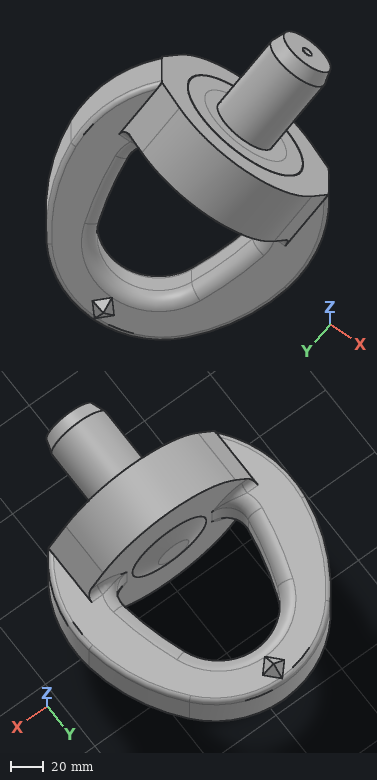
import cadquery as cq
import math

position_tolerance = 0.2

eye_thickness = 36.0
eye_width = 166.9
eye_top = 154.7
eye_crown_radius = 70.6
eye_flank_radius = 126.0
eye_foot_radius = 83.7
eye_widest_y = 54.3
rim_fillet = 3.3

opening_top = 125.4
opening_width = 94.3
opening_crown_radius = 37.4
opening_flank_radius = 228.2
opening_corner_radius = 14.8
opening_fillet = 9.5

marker_center_y = 143.9
marker_half_length = 9.0
marker_half_width = 8.3
marker_height = 6.7

base_height = 38.2
base_diameter = 123.6
base_half_width = 63.2
base_tangent_x = 50.2
base_fillet = 5.5

shank_diameter = 42.0
shank_length = 62.5
tip_diameter = 35.9
tip_length = 9.3
head_diameter = 56.0
dome_flat_diameter = 23.0
dome_height = 4.1
center_hole_diameter = 3.0
center_hole_depth = 6.5
countersink_diameter = 7.0

recess_diameter = 88.0
bush_diameter = 87.1
bush_bore_diameter = 42.2
bush_height = 19.1
dish_diameter = 62.1
dish_depth = 0.33


def mirrored(point):
    return (-point[0], point[1])


def point_on_circle(center, radius, toward):
    """Point at the given radius from center, in the direction of the vector toward."""
    scale = radius / math.hypot(*toward)
    return (center[0] + scale * toward[0], center[1] + scale * toward[1])


def flank_arc(crown_center, crown_radius, lower_center, lower_radius, flank_radius):
    """Start, middle and end of the arc that runs tangentially from the lower circle to the crown circle."""
    to_crown = flank_radius - crown_radius
    to_lower = flank_radius - lower_radius
    offset_x = crown_center[0] - lower_center[0]
    offset_y = crown_center[1] - lower_center[1]
    distance = math.hypot(offset_x, offset_y)
    along = (to_lower**2 - to_crown**2 + distance**2) / (2 * distance)
    across = math.sqrt(to_lower**2 - along**2)
    center = (
        lower_center[0] + (along * offset_x - across * offset_y) / distance,
        lower_center[1] + (along * offset_y + across * offset_x) / distance,
    )
    toward_lower = (lower_center[0] - center[0], lower_center[1] - center[1])
    toward_crown = (crown_center[0] - center[0], crown_center[1] - center[1])
    start = point_on_circle(center, flank_radius, toward_lower)
    end = point_on_circle(center, flank_radius, toward_crown)
    toward_middle = (start[0] + end[0] - 2 * center[0], start[1] + end[1] - 2 * center[1])
    return start, point_on_circle(center, flank_radius, toward_middle), end


def make_eye_blank():
    crown_center = (0, eye_top - eye_crown_radius)
    foot_center = (eye_width / 2 - eye_foot_radius, eye_widest_y)
    flank_start, flank_middle, flank_end = flank_arc(
        crown_center, eye_crown_radius, foot_center, eye_foot_radius, eye_flank_radius
    )
    foot_end = (foot_center[0] + math.sqrt(eye_foot_radius**2 - eye_widest_y**2), 0)
    widest = (eye_width / 2, eye_widest_y)
    outline = (
        cq.Workplane("XY")
        .moveTo(*foot_end)
        .threePointArc(widest, flank_start)
        .threePointArc(flank_middle, flank_end)
        .threePointArc((0, eye_top), mirrored(flank_end))
        .threePointArc(mirrored(flank_middle), mirrored(flank_start))
        .threePointArc(mirrored(widest), mirrored(foot_end))
        .close()
    )
    blank = outline.extrude(eye_thickness / 2, both=True)
    rim = blank.faces("<Z or >Z").edges().filter(lambda edge: edge.BoundingBox().ymax > position_tolerance)
    return rim.fillet(rim_fillet)


def make_opening_cutter():
    crown_center = (0, opening_top - opening_crown_radius)
    corner_center = (opening_width / 2 - opening_corner_radius, base_height + opening_corner_radius)
    flank_start, flank_middle, flank_end = flank_arc(
        crown_center, opening_crown_radius, corner_center, opening_corner_radius, opening_flank_radius
    )
    corner_start = (corner_center[0], base_height)
    corner_middle = point_on_circle(corner_center, opening_corner_radius, (1, -1))
    return (
        cq.Workplane("XY")
        .moveTo(*corner_start)
        .threePointArc(corner_middle, flank_start)
        .threePointArc(flank_middle, flank_end)
        .threePointArc((0, opening_top), mirrored(flank_end))
        .threePointArc(mirrored(flank_middle), mirrored(flank_start))
        .threePointArc(mirrored(corner_middle), mirrored(corner_start))
        .close()
        .extrude(eye_thickness / 2, both=True)
    )


def make_eye():
    eye = make_eye_blank().cut(make_opening_cutter())
    opening_edges = eye.faces("<Z or >Z").edges().filter(is_opening_edge)
    return opening_edges.fillet(opening_fillet)


def is_opening_edge(edge):
    """True for an edge that lies wholly within the rectangle around the opening."""
    box = edge.BoundingBox()
    within_width = max(-box.xmin, box.xmax) < opening_width / 2 + position_tolerance
    within_length = box.ymin > base_height - position_tolerance and box.ymax < opening_top + position_tolerance
    return within_width and within_length


def make_base():
    base_radius = base_diameter / 2
    tangent_z = math.sqrt(base_radius**2 - base_tangent_x**2)
    side_z = (base_radius**2 - base_half_width * base_tangent_x) / tangent_z
    return (
        cq.Workplane("XZ")
        .moveTo(base_half_width, -side_z)
        .lineTo(base_half_width, side_z)
        .lineTo(base_tangent_x, tangent_z)
        .threePointArc((0, base_radius), (-base_tangent_x, tangent_z))
        .lineTo(-base_half_width, side_z)
        .lineTo(-base_half_width, -side_z)
        .lineTo(-base_tangent_x, -tangent_z)
        .threePointArc((0, -base_radius), (base_tangent_x, -tangent_z))
        .close()
        .extrude(-base_height)
    )


def make_marker(side):
    """Diamond-based pyramid on the +Z (side = 1) or -Z (side = -1) face of the eye."""
    base_z = side * eye_thickness / 2
    apex = cq.Vector(0, marker_center_y, base_z + side * marker_height)
    corners = [
        cq.Vector(marker_half_width, marker_center_y, base_z),
        cq.Vector(0, marker_center_y + marker_half_length, base_z),
        cq.Vector(-marker_half_width, marker_center_y, base_z),
        cq.Vector(0, marker_center_y - marker_half_length, base_z),
    ]
    faces = [polygon_face(corners)]
    for index, corner in enumerate(corners):
        faces.append(polygon_face([corners[index - 1], corner, apex]))
    return cq.Workplane(cq.Solid.makeSolid(cq.Shell.makeShell(faces)))


def polygon_face(points):
    return cq.Face.makeFromWires(cq.Wire.makePolygon(points, close=True))


def is_inner_corner(edge):
    """True for an edge where the base top meets a flat face of the eye."""
    center = edge.Center()
    on_base_top = abs(center.y - base_height) < position_tolerance
    on_eye_face = abs(abs(center.z) - eye_thickness / 2) < position_tolerance
    return on_base_top and on_eye_face


def make_housing():
    housing = make_eye().union(make_base())
    housing = housing.edges().filter(is_inner_corner).fillet(base_fillet)
    for side in (1, -1):
        housing = housing.union(make_marker(side))
    head_bore = cq.Workplane("XZ").circle(head_diameter / 2).extrude(-base_height)
    bush_recess = cq.Workplane("XZ").circle(recess_diameter / 2).extrude(-bush_height)
    return housing.cut(head_bore).cut(bush_recess)


def make_bush():
    bore_radius = bush_bore_diameter / 2
    return (
        cq.Workplane("XY")
        .moveTo(bore_radius, dish_depth)
        .lineTo(dish_diameter / 2, 0)
        .lineTo(bush_diameter / 2, 0)
        .lineTo(bush_diameter / 2, bush_height)
        .lineTo(bore_radius, bush_height)
        .close()
        .revolve(360, (0, 0), (0, 1))
    )


def make_bolt():
    countersink_depth = (countersink_diameter - center_hole_diameter) / 2
    return (
        cq.Workplane("XY")
        .moveTo(0, -shank_length + center_hole_depth)
        .lineTo(center_hole_diameter / 2, -shank_length + center_hole_depth)
        .lineTo(center_hole_diameter / 2, -shank_length + countersink_depth)
        .lineTo(countersink_diameter / 2, -shank_length)
        .lineTo(tip_diameter / 2, -shank_length)
        .lineTo(shank_diameter / 2, -shank_length + tip_length)
        .lineTo(shank_diameter / 2, bush_height)
        .lineTo(head_diameter / 2, bush_height)
        .lineTo(head_diameter / 2, base_height)
        .lineTo(dome_flat_diameter / 2, base_height + dome_height)
        .lineTo(0, base_height + dome_height)
        .close()
        .revolve(360, (0, 0), (0, 1))
    )


housing = make_housing()
bush = make_bush()
bolt = make_bolt()

result = cq.Compound.makeCompound([housing.val(), bush.val(), bolt.val()])